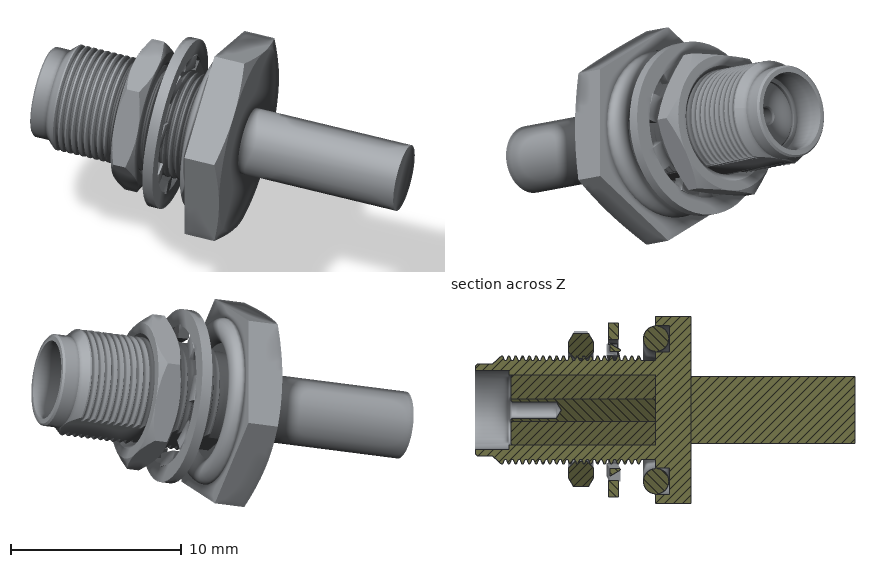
import cadquery as cq
import math

TOTAL_LENGTH = 22.2

NOSE_RADIUS = 2.7
NOSE_LENGTH = 1.0
NOSE_CHAMFER = 0.1
FLAT_DISTANCE = NOSE_RADIUS
FLANGE_START = 10.5
FLANGE_THICKNESS = 2.13
FLANGE_END = FLANGE_START + FLANGE_THICKNESS
FLANGE_ACROSS_FLATS = 11.0
FLANGE_CHAMFER_LENGTH = 0.29
SOCKET_RADIUS = 2.3
SOCKET_DEPTH = 1.95

THREAD_CREST_RADIUS = 3.17
THREAD_ROOT_RADIUS = 2.9
THREAD_PITCH = 0.4
CREST_WIDTH = 0.09
FLANK_LENGTH = 0.1
FIRST_CREST = 1.55
CREST_COUNT = 21

SEAL_START = 9.81
SEAL_SECTION_RADIUS = 0.75
SEAL_RING_RADIUS = 4.17
SEAL_CENTRE = SEAL_START + SEAL_SECTION_RADIUS

NUT_ACROSS_FLATS = 8.0
NUT_START = 5.45
NUT_THICKNESS = 1.47
NUT_TURN = -2.8
NUT_CHAMFER_ANGLE = 30.0
NUT_BORE_RADIUS = 3.0
NUT_COUNTERSINK_RADIUS = 3.4

WASHER_START = 7.77
WASHER_THICKNESS = 0.62
WASHER_OUTER_RADIUS = 5.1
WASHER_INNER_RADIUS = 4.1
TOOTH_COUNT = 8
TOOTH_TIP_RADIUS = 3.33
TOOTH_ROOT_RADIUS = 4.13
TOOTH_WIDTH = 1.55
TOOTH_TWIST = -7.0
FIRST_TOOTH_ANGLE = 12.0

INSULATOR_RADIUS = 2.05
INSULATOR_START = 2.06
INSULATOR_CHAMFER = 0.09
CONTACT_RADIUS = 0.65
CONTACT_HOLE_RADIUS = 0.47
CONTACT_HOLE_DEPTH = 2.66
CONTACT_HOLE_CHAMFER = 0.09
DRILL_POINT_ANGLE = 118.0

SLEEVE_RADIUS = 1.98


def revolved(profile):
    """Solid of revolution about the X axis from (x, radius) points."""
    return cq.Workplane("XY").polyline(profile).close().revolve(360, (0, 0, 0), (1, 0, 0))


def cylinder(start, end, radius):
    return cq.Workplane("YZ").workplane(offset=start).circle(radius).extrude(end - start)


def corner_radius(across_flats):
    return across_flats / 2 / math.cos(math.pi / 6)


def hexagon(start, thickness, across_flats):
    """Hexagonal prism along X with two corners on the Y axis."""
    corner_diameter = 2 * corner_radius(across_flats)
    return cq.Workplane("YZ").workplane(offset=start).polygon(6, corner_diameter).extrude(thickness)


def make_thread():
    """Nose and threaded barrel as one turned solid, without the flat."""
    half_crest = CREST_WIDTH / 2
    profile = [
        (0, 0),
        (0, NOSE_RADIUS - NOSE_CHAMFER),
        (NOSE_CHAMFER, NOSE_RADIUS),
        (NOSE_LENGTH, NOSE_RADIUS),
    ]
    for index in range(CREST_COUNT):
        crest = FIRST_CREST + index * THREAD_PITCH
        if index > 0:
            profile.append((crest - half_crest - FLANK_LENGTH, THREAD_ROOT_RADIUS))
        profile.append((crest - half_crest, THREAD_CREST_RADIUS))
        profile.append((crest + half_crest, THREAD_CREST_RADIUS))
        profile.append((crest + half_crest + FLANK_LENGTH, THREAD_ROOT_RADIUS))
    profile += [(FLANGE_START, THREAD_ROOT_RADIUS), (FLANGE_START, 0)]
    return revolved(profile)


def make_flange():
    """Hexagon with two corners on the Z axis, its +X corners turned off."""
    hexagon_body = hexagon(FLANGE_START, FLANGE_THICKNESS, FLANGE_ACROSS_FLATS)
    hexagon_body = hexagon_body.rotate((0, 0, 0), (1, 0, 0), 90)
    corner = corner_radius(FLANGE_ACROSS_FLATS)
    envelope = revolved([
        (FLANGE_START, 0),
        (FLANGE_START, corner),
        (FLANGE_END - FLANGE_CHAMFER_LENGTH, corner),
        (FLANGE_END, FLANGE_ACROSS_FLATS / 2),
        (FLANGE_END, 0),
    ])
    groove_end = SEAL_CENTRE + SEAL_SECTION_RADIUS
    groove = cylinder(FLANGE_START, groove_end, SEAL_RING_RADIUS + SEAL_SECTION_RADIUS).cut(
        cylinder(FLANGE_START, groove_end, SEAL_RING_RADIUS - SEAL_SECTION_RADIUS)
    )
    return hexagon_body.intersect(envelope).cut(groove)


def make_shell(thread):
    """Barrel with the flat cut underneath, joined to the flange and bored out."""
    flat_cutter = cq.Workplane("XY").box(
        FLANGE_START, 2 * THREAD_CREST_RADIUS, THREAD_CREST_RADIUS, centered=(False, True, False)
    ).translate((0, 0, -FLAT_DISTANCE - THREAD_CREST_RADIUS))
    socket = cylinder(0, SOCKET_DEPTH, SOCKET_RADIUS)
    insulator_bore = cylinder(SOCKET_DEPTH, FLANGE_START, INSULATOR_RADIUS)
    return thread.cut(flat_cutter).union(make_flange()).cut(socket).cut(insulator_bore)


def make_seal():
    """O-ring around the X axis."""
    section = cq.Workplane("XY").moveTo(SEAL_CENTRE, SEAL_RING_RADIUS).circle(SEAL_SECTION_RADIUS)
    return section.revolve(360, (0, 0, 0), (1, 0, 0))


def make_nut(thread):
    """Hexagon chamfered and countersunk on both faces, its bore cut to mate with the thread."""
    end = NUT_START + NUT_THICKNESS
    corner = corner_radius(NUT_ACROSS_FLATS)
    face_radius = NUT_ACROSS_FLATS / 2
    chamfer_length = (corner - face_radius) * math.tan(math.radians(NUT_CHAMFER_ANGLE))
    countersink = NUT_COUNTERSINK_RADIUS - NUT_BORE_RADIUS
    turned_body = revolved([
        (NUT_START, NUT_COUNTERSINK_RADIUS),
        (NUT_START, face_radius),
        (NUT_START + chamfer_length, corner),
        (end - chamfer_length, corner),
        (end, face_radius),
        (end, NUT_COUNTERSINK_RADIUS),
        (end - countersink, NUT_BORE_RADIUS),
        (NUT_START + countersink, NUT_BORE_RADIUS),
    ])
    hexagon_body = hexagon(NUT_START, NUT_THICKNESS, NUT_ACROSS_FLATS)
    hexagon_body = hexagon_body.rotate((0, 0, 0), (1, 0, 0), NUT_TURN)
    return hexagon_body.intersect(turned_body).cut(thread)


def make_washer():
    """Flat ring whose inward teeth are each twisted about their own radial line."""
    end = WASHER_START + WASHER_THICKNESS
    washer = cylinder(WASHER_START, end, WASHER_OUTER_RADIUS).cut(
        cylinder(WASHER_START, end, WASHER_INNER_RADIUS)
    )
    tooth = cq.Workplane("XY").box(
        WASHER_THICKNESS, TOOTH_WIDTH, TOOTH_ROOT_RADIUS - TOOTH_TIP_RADIUS, centered=(True, True, False)
    )
    tooth = tooth.rotate((0, 0, 0), (0, 0, 1), TOOTH_TWIST)
    tooth = tooth.translate((WASHER_START + WASHER_THICKNESS / 2, 0, TOOTH_TIP_RADIUS))
    for index in range(TOOTH_COUNT):
        angle = FIRST_TOOTH_ANGLE + index * 360 / TOOTH_COUNT
        washer = washer.union(tooth.rotate((0, 0, 0), (1, 0, 0), angle))
    return washer


def make_insulator():
    body = cylinder(INSULATOR_START, FLANGE_START, INSULATOR_RADIUS)
    body = body.faces("<X").chamfer(INSULATOR_CHAMFER)
    return body.cut(cylinder(INSULATOR_START, FLANGE_START, CONTACT_RADIUS))


def make_contact():
    """Socket contact: round bar with a chamfered blind hole ending in a drill point."""
    hole_end = INSULATOR_START + CONTACT_HOLE_DEPTH
    point_length = CONTACT_HOLE_RADIUS / math.tan(math.radians(DRILL_POINT_ANGLE / 2))
    return revolved([
        (INSULATOR_START, CONTACT_HOLE_RADIUS + CONTACT_HOLE_CHAMFER),
        (INSULATOR_START, CONTACT_RADIUS),
        (FLANGE_START, CONTACT_RADIUS),
        (FLANGE_START, 0),
        (hole_end + point_length, 0),
        (hole_end, CONTACT_HOLE_RADIUS),
        (INSULATOR_START + CONTACT_HOLE_CHAMFER, CONTACT_HOLE_RADIUS),
    ])


def make_sleeve():
    return cylinder(FLANGE_END, TOTAL_LENGTH, SLEEVE_RADIUS)


thread = make_thread()
shell = make_shell(thread)
seal = make_seal()
nut = make_nut(thread)
washer = make_washer()
insulator = make_insulator()
contact = make_contact()
sleeve = make_sleeve()

result = cq.Compound.makeCompound([
    shell.val(),
    seal.val(),
    nut.val(),
    washer.val(),
    insulator.val(),
    contact.val(),
    sleeve.val(),
])